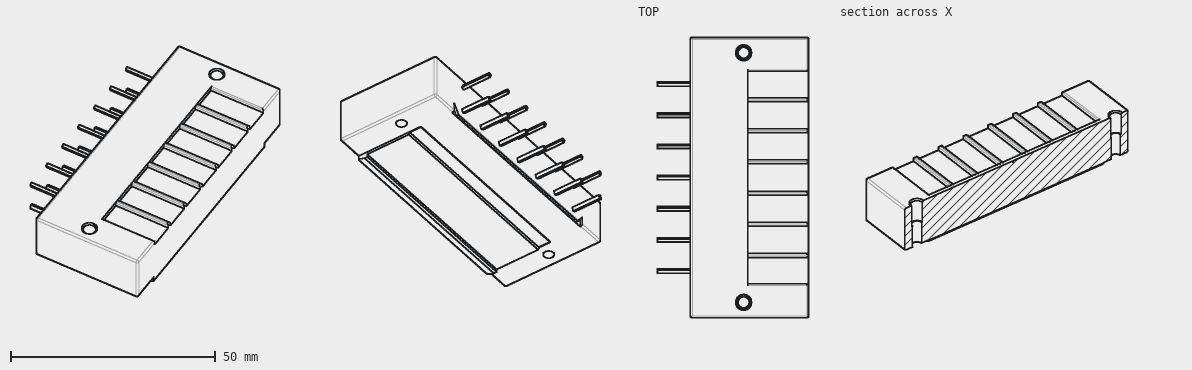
import cadquery as cq

body_length = 29.0
body_width = 68.58
body_height = 12.7
part_height = 14.29
edge_radius = 0.5

pitch = 7.62
position_count = 7
pin_length = 8.0
pin_thickness = 0.8
pin_depth = 1.0
pin_twist = 23.0
lower_row_z = 2.6
upper_row_z = lower_row_z + pitch

hole_x = 13.1
hole_spacing = 61.0
hole_diameter = 2.7
counterbore_diameter = 3.1
counterbore_depth = body_height / 2
hole_rim_chamfer = 0.38

recess_x = 14.1
recess_width = 52.0
recess_depth = 1.2
rib_width = 0.98
recess_edge_radius = 0.3

rail_overlap = edge_radius
rail_width = 53.6
pad_x = 9.95
pad_drop = 0.2
rail_x = 13.3
rail_lead_in = 0.3
rail_drop = 0.75
hook_x = 26.15
hook_flat_length = 0.85
hook_drop = part_height - body_height
hook_end_drop = 0.9
hook_corner_chamfer = 0.25

relief_width = 53.0
relief_height = 0.2
relief_depth = 0.7
notch_width = 1.7
notch_height = 2.6


def make_body():
    """Block with every outer edge rounded."""
    block = cq.Workplane("XY").box(body_length, body_width, body_height, centered=(False, True, False))
    return block.edges().fillet(edge_radius)


def make_pocket(center_y, width):
    """Volume of one pocket, open towards +X, whose long upper rims are rounded outwards."""
    half = width / 2
    floor_z = body_height - recess_depth
    round_z = body_height - recess_edge_radius
    return (
        cq.Workplane("YZ", origin=(recess_x, center_y, 0))
        .moveTo(-half, floor_z)
        .lineTo(half, floor_z)
        .lineTo(half, round_z)
        .radiusArc((half + recess_edge_radius, body_height), recess_edge_radius)
        .lineTo(-half - recess_edge_radius, body_height)
        .radiusArc((-half, round_z), recess_edge_radius)
        .close()
        .extrude(body_length - recess_x)
    )


def cut_recess(body):
    """Cut one pocket per position, leaving a rib at every boundary between positions."""
    half_recess = recess_width / 2
    for index in range(position_count):
        center_line = (index - (position_count - 1) / 2) * pitch
        low_y = center_line - (pitch - rib_width) / 2
        high_y = center_line + (pitch - rib_width) / 2
        if index == 0:
            low_y = -half_recess
        if index == position_count - 1:
            high_y = half_recess
        body = body.cut(make_pocket((low_y + high_y) / 2, high_y - low_y))
    return body


def cut_holes(body):
    """Two counterbored through holes with chamfered upper rims."""
    rim_diameter = counterbore_diameter + 2 * hole_rim_chamfer
    centers = [(hole_x, -hole_spacing / 2), (hole_x, hole_spacing / 2)]
    top_plane = cq.Workplane("XY", origin=(0, 0, body_height)).pushPoints(centers)
    bores = top_plane.circle(hole_diameter / 2).extrude(-body_height)
    counterbores = top_plane.circle(counterbore_diameter / 2).extrude(-counterbore_depth)
    rims = top_plane.circle(rim_diameter / 2).extrude(-hole_rim_chamfer, taper=45)
    return body.cut(bores).cut(counterbores).cut(rims)


def make_rail():
    """Stepped pad, rail and sloped hook under the block, extruded along Y."""
    profile = [
        (pad_x, rail_overlap),
        (pad_x, -pad_drop),
        (rail_x, -pad_drop),
        (rail_x + rail_lead_in, -rail_drop),
        (hook_x, -rail_drop),
        (hook_x, -hook_drop),
        (hook_x + hook_flat_length, -hook_drop),
        (body_length, -hook_end_drop),
        (body_length, rail_overlap),
    ]
    rail = cq.Workplane("XZ").polyline(profile).close().extrude(rail_width / 2, both=True)
    return rail.edges("|Z and >X").chamfer(hook_corner_chamfer)


def make_relief():
    """Shallow step with a triangular notch at each end, cut into the -X face."""
    half = relief_width / 2
    profile = [
        (-half, 0),
        (-half, notch_height),
        (notch_width - half, relief_height),
        (half - notch_width, relief_height),
        (half, notch_height),
        (half, 0),
    ]
    return cq.Workplane("YZ").polyline(profile).close().extrude(relief_depth)


def make_pin(y, z, twist):
    """Rectangular wire standing out of the -X face, turned about its own axis."""
    return (
        cq.Workplane("YZ")
        .rect(pin_thickness, pin_depth)
        .extrude(-pin_length)
        .rotate((0, 0, 0), (1, 0, 0), twist)
        .translate((0, y, z))
    )


result = make_body().union(make_rail())
result = cut_recess(result)
result = cut_holes(result)
result = result.cut(make_relief())
for column in range(position_count):
    pin_y = (column - (position_count - 1) / 2) * pitch
    result = result.union(make_pin(pin_y, upper_row_z, pin_twist))
    result = result.union(make_pin(pin_y, lower_row_z, -pin_twist))